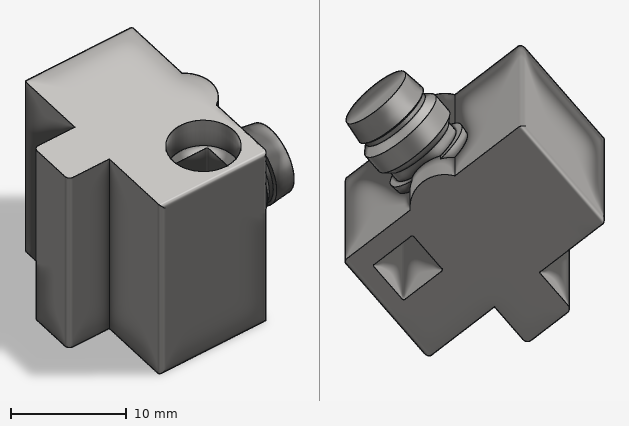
import cadquery as cq

body_side = 20.0
body_depth = 11.5
edge_radius = 0.5

rib_width = 5.0
rib_reach = 4.4
ridge_radius = 3.0
ridge_reach = 1.32

hole_x = 6.0
hole_y = -4.0
counterbore_diameter = 6.5
counterbore_depth = 3.0
square_x = 4.41
square_y = 4.15
square_corner_radius = 0.17

connector_z = -2.43
connector_length = 7.72
flange_diameter = 8.0
flange_base_diameter = 7.8
flange_thickness = 0.87
neck_diameter = 6.65
collar_diameter = flange_diameter
collar_start = 1.86
collar_end = 5.05
collar_chamfer = (collar_diameter - neck_diameter) / 2
barb_diameter = 7.2
barb_start = 5.48
barb_lip = 0.17


def make_body():
    block = cq.Workplane("XY").box(body_side, body_depth, body_side)
    block = block.faces("<X or >X").edges().fillet(edge_radius)
    return block.translate((0, -body_depth / 2, 0))


def make_rib():
    length = 2 * rib_reach
    rib = cq.Workplane("XY").box(rib_width, length, body_side)
    rib = rib.faces("<Y").edges("|Z").fillet(edge_radius)
    return rib.translate((0, -body_depth, 0))


def make_ridge():
    return (
        cq.Workplane("XY", origin=(0, ridge_reach - ridge_radius, -body_side / 2))
        .circle(ridge_radius)
        .extrude(body_side)
    )


def make_connector():
    neck_radius = neck_diameter / 2
    collar_radius = collar_diameter / 2
    profile = [
        (0, 0),
        (flange_base_diameter / 2, 0),
        (flange_diameter / 2, flange_thickness),
        (neck_radius, flange_thickness),
        (neck_radius, collar_start),
        (collar_radius, collar_start + collar_chamfer),
        (collar_radius, collar_end - collar_chamfer),
        (neck_radius, collar_end),
        (neck_radius, barb_start),
        (barb_diameter / 2, barb_start + barb_lip),
        (neck_radius, connector_length),
        (0, connector_length),
    ]
    turned = cq.Workplane("XY").polyline(profile).close().revolve(360, (0, 0), (0, 1))
    return turned.translate((0, 0, connector_z))


def make_hole():
    top = body_side / 2
    square = cq.Workplane("XY").box(square_x, square_y, body_side)
    square = square.edges("|Z").fillet(square_corner_radius)
    counterbore = (
        cq.Workplane("XY", origin=(0, 0, top - counterbore_depth))
        .circle(counterbore_diameter / 2)
        .extrude(counterbore_depth)
    )
    return square.union(counterbore).translate((hole_x, hole_y, 0))


result = make_body().union(make_rib()).union(make_ridge()).union(make_connector()).cut(make_hole())